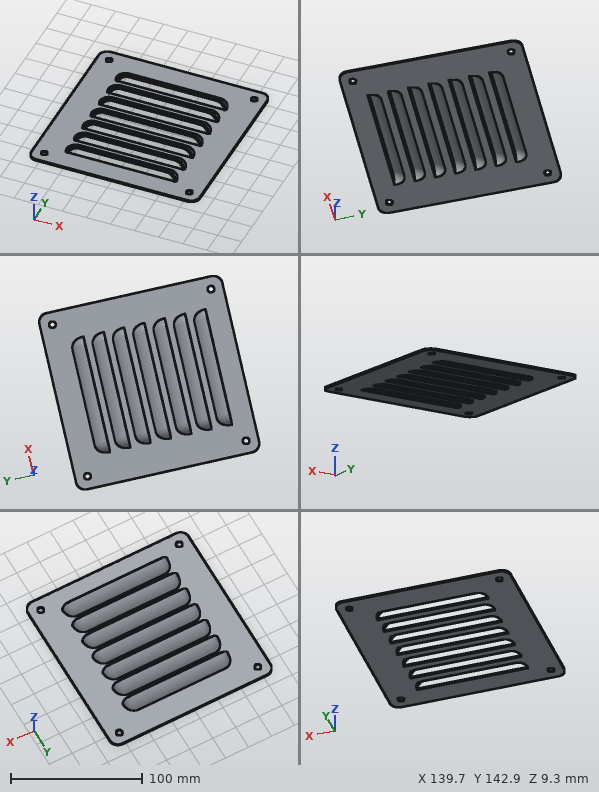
import cadquery as cq
import math

plate_width = 139.7
plate_depth = 142.9
sheet_thickness = 1.5
corner_radius = 7.1
overall_height = 9.3

hole_diameter = 5.0
hole_inset_x = 9.7
hole_inset_y = 9.6

louver_count = 7
louver_pitch = 15.9
louver_row_center = -6.1
louver_straight = 75.7
hood_outer_radius = 17.1
end_outer_rounding = 8.0
end_inner_rounding = end_outer_rounding - sheet_thickness
hood_inner_radius = hood_outer_radius - sheet_thickness
lip_angle = math.radians(17)

rod_center_y = -hood_outer_radius * math.sin(lip_angle)
rod_center_z = overall_height - hood_outer_radius * math.cos(lip_angle)


def rod_point(radius, angle):
    """(Y, Z) of a point around the rod, with the angle measured from +Z toward +Y."""
    y = rod_center_y + radius * math.sin(angle)
    z = rod_center_z + radius * math.cos(angle)
    return (y, z)


def rounded_rod(radius, rim_rounding):
    """Rod along X with rounded rims beyond the straight stretch of the louver."""
    half_straight = louver_straight / 2
    half_length = half_straight + rim_rounding
    rim_start = radius - rim_rounding
    rim_middle_offset = rim_rounding * math.sin(math.radians(45))
    rim_middle_x = half_straight + rim_middle_offset
    rim_middle = rim_start + rim_middle_offset
    return (
        cq.Workplane("XY", origin=(0, rod_center_y, rod_center_z))
        .moveTo(-half_length, 0)
        .lineTo(-half_length, rim_start)
        .threePointArc((-rim_middle_x, rim_middle), (-half_straight, radius))
        .lineTo(half_straight, radius)
        .threePointArc((rim_middle_x, rim_middle), (half_length, rim_start))
        .lineTo(half_length, 0)
        .close()
        .revolve(360, (0, 0), (1, 0))
    )


def space_behind(front_points):
    """Space behind a front line of (Y, Z) points, reaching past the back of the rod."""
    bottom_z = front_points[0][1]
    top_z = front_points[-1][1]
    back_y = rod_center_y + 2 * hood_outer_radius
    return (
        cq.Workplane("YZ", origin=(-plate_width / 2, 0, 0))
        .polyline(front_points)
        .lineTo(back_y, top_z)
        .lineTo(back_y, bottom_z)
        .close()
        .extrude(plate_width)
    )


inner_lip = rod_point(hood_inner_radius, lip_angle)
beyond_lip = rod_point(hood_outer_radius + sheet_thickness, lip_angle)
front_y = inner_lip[0]

hood_space = space_behind([(front_y, sheet_thickness), inner_lip, beyond_lip])
hollow_space = space_behind([(front_y, 0), (front_y, overall_height)])
hood = rounded_rod(hood_outer_radius, end_outer_rounding).intersect(hood_space)
hollow = rounded_rod(hood_inner_radius, end_inner_rounding).intersect(hollow_space)


def make_plate():
    """Flat plate with rounded corners and four mounting holes."""
    hole_spacing_x = plate_width - 2 * hole_inset_x
    hole_spacing_y = plate_depth - 2 * hole_inset_y
    return (
        cq.Workplane("XY")
        .rect(plate_width, plate_depth)
        .extrude(sheet_thickness)
        .edges("|Z")
        .fillet(corner_radius)
        .faces(">Z")
        .workplane()
        .rect(hole_spacing_x, hole_spacing_y, forConstruction=True)
        .vertices()
        .hole(hole_diameter)
    )


result = make_plate()
for index in range(louver_count):
    louver_y = louver_row_center + (index - (louver_count - 1) / 2) * louver_pitch
    louver_place = (0, louver_y, 0)
    result = result.union(hood.translate(louver_place))
    result = result.cut(hollow.translate(louver_place))